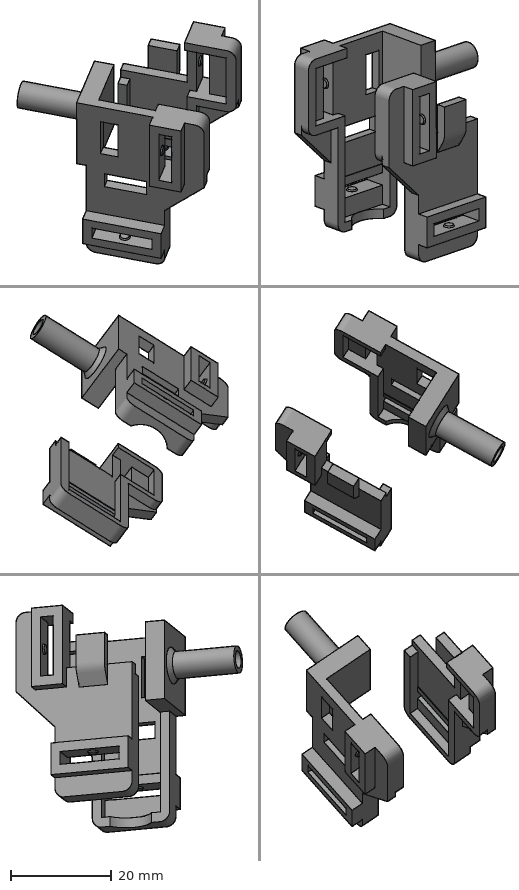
import cadquery as cq
import math

total_length = 40.35
total_height = 39.05
total_depth = 32.4

front_outer_y = 2.62
rear_outer_y = 29.85
plate_thickness = 4.05
rim_thickness = 2.0
arm_width = 16.3
leg_left = 15.85
leg_right = leg_left + arm_width
leg_center = leg_left + arm_width / 2
arm_bottom = total_height - arm_width
web_leg_z = 14.7
arm_center = total_height - arm_width / 2
rim = 2.0
leg_rim = 1.95

arm_slot_inset = 7.4
leg_slot_z = 7.42
slot_width = 2.65
block_width = 6.58
leg_block_shift = -0.12
front_arm_block_y = -leg_block_shift
rear_arm_block_y = total_depth
arm_slot_x = total_length - arm_slot_inset
arm_block_left = arm_slot_x - block_width / 2
leg_block_top = leg_slot_z + block_width / 2

bump_base_diameter = 2.18
bump_tip_diameter = 1.78
bump_height = 0.32
bump_depth = 2.18

wall_left = 13.9
wall_thickness = 4.05
wall_end_y = 15.65
tube_y = 10.77
tube_diameter = 5.5
bore_diameter = 3.5
bore_depth = 2.1
collar_length = 0.95
window_left, window_right = 18.85, 22.45
window_bottom, window_top = 26.67, 35.2
catch_slot_length = 8.7
catch_slot_bottom, catch_slot_top = 18.05, 21.45
scallop_radius = 5.33
scallop_center_gap = 3.05

rear_plate_top = 26.75
tab_width = 6.0
tab_thickness = 2.05
tab_top = 32.75
tab_curve_radius = 3.43
tab_slope = 32.0


def span_box(x_range, y_range, z_range):
    """Box between pairs of X, Y and Z limits, each given in either order."""
    sizes = [abs(b - a) for a, b in (x_range, y_range, z_range)]
    corner = [min(pair) for pair in (x_range, y_range, z_range)]
    return cq.Workplane("XY").box(*sizes, centered=False).translate(tuple(corner))


def extrude_outline(outline, y_start, y_end):
    """Extrude an XZ outline between two Y positions."""
    return outline.extrude(y_start - y_end).translate((0, y_start, 0))


def bump(base, direction):
    """Flat-topped cone that stands on a slot wall."""
    base_radius = bump_base_diameter / 2
    tip_radius = bump_tip_diameter / 2
    cone = cq.Solid.makeCone(base_radius, tip_radius, bump_height, cq.Vector(*base), cq.Vector(*direction))
    return cq.Workplane(obj=cone)


def add_clip_features(plate, outer_y, arm_top_y, outward):
    """Add the recess, slotted blocks and bumps; arm_top_y is the outer face of the arm's block."""
    inner_y = outer_y - outward * plate_thickness
    arm_floor = inner_y + outward * rim_thickness
    leg_floor = arm_floor + leg_block_shift
    leg_top_y = arm_top_y + leg_block_shift
    slot_top = total_height - rim
    slot_bottom = arm_bottom + rim
    leg_slot_x = (leg_left + leg_rim, leg_right - leg_rim)

    plate = plate.union(span_box(
        (arm_block_left, arm_block_left + block_width), (inner_y, arm_top_y), (arm_bottom, total_height)))
    plate = plate.union(span_box(
        (leg_left, leg_right), (outer_y, leg_top_y), (leg_block_top - block_width, leg_block_top)))

    plate = plate.cut(span_box(leg_slot_x, (inner_y, leg_floor), (rim, leg_block_top)))
    plate = plate.cut(span_box(leg_slot_x, (inner_y, arm_floor), (leg_block_top, slot_bottom)))
    plate = plate.cut(span_box((leg_left, arm_block_left), (inner_y, arm_floor), (slot_bottom, total_height)))
    plate = plate.cut(span_box(
        (arm_block_left, total_length - rim), (inner_y, arm_floor), (slot_bottom, slot_top)))

    half_slot = slot_width / 2
    plate = plate.cut(span_box(
        (arm_slot_x - half_slot, arm_slot_x + half_slot), (inner_y, arm_top_y), (slot_bottom, slot_top)))
    plate = plate.cut(span_box(
        leg_slot_x, (inner_y, leg_top_y), (leg_slot_z - half_slot, leg_slot_z + half_slot)))

    for side in (-1, 1):
        arm_base = (arm_slot_x + side * half_slot, arm_top_y - outward * bump_depth, arm_center)
        leg_base = (leg_center, leg_top_y - outward * bump_depth, leg_slot_z + side * half_slot)
        plate = plate.union(bump(arm_base, (-side, 0, 0)))
        plate = plate.union(bump(leg_base, (0, 0, -side)))
    return plate


def round_corners(plate, corners, radius):
    """Fillet the Y-direction edges at the given (x, z) corners."""
    tolerance = 0.05
    for x, z in corners:
        selector = cq.selectors.BoxSelector(
            (x - tolerance, 0, z - tolerance), (x + tolerance, total_depth, z + tolerance))
        plate = plate.edges("|Y").edges(selector).fillet(radius)
    return plate


def make_plate(outer_y, arm_block_y, top_steps):
    """L-shaped plate: an outer layer with a diagonal web and an inner rim layer without it.

    top_steps are the (x, z) points that end the outline along the top, right to left.
    """
    outward = 1 if arm_block_y > outer_y else -1
    middle_y = outer_y - outward * (plate_thickness - rim_thickness)
    inner_y = outer_y - outward * plate_thickness
    leg_end = [(leg_left, 0), (leg_right, 0)]
    arm_end = [(total_length, arm_bottom), (total_length, total_height)]
    free_corners = leg_end + arm_end[1:]

    web_points = leg_end + [(leg_right, web_leg_z)] + arm_end + top_steps
    web_outline = cq.Workplane("XZ").polyline(web_points).close()
    outer_layer = extrude_outline(web_outline, *sorted((outer_y, middle_y)))
    outer_layer = round_corners(outer_layer, free_corners, rim)

    rim_points = leg_end + [(leg_right, arm_bottom)] + arm_end + top_steps
    rim_outline = cq.Workplane("XZ").polyline(rim_points).close()
    rim_layer = extrude_outline(rim_outline, *sorted((middle_y, inner_y)))
    rim_layer = round_corners(rim_layer, free_corners + arm_end[:1], rim)
    return add_clip_features(outer_layer.union(rim_layer), outer_y, arm_block_y, outward)


def make_front_body():
    inner_y = front_outer_y + plate_thickness
    body = make_plate(front_outer_y, front_arm_block_y, [(leg_left, total_height)])

    body = body.union(span_box(
        (wall_left, wall_left + wall_thickness), (front_outer_y, wall_end_y), (arm_bottom, total_height)))

    tube_radius = tube_diameter / 2
    bore_radius = bore_diameter / 2
    half_section = cq.Workplane("XY").polyline([
        (0, bore_radius), (0, tube_radius), (wall_left - collar_length, tube_radius),
        (wall_left, tube_radius + collar_length), (wall_left, 0),
        (bore_depth, 0), (bore_depth, bore_radius)]).close()
    tube = half_section.revolve(360, (0, 0, 0), (1, 0, 0))
    body = body.union(tube.translate((0, tube_y, arm_center)))

    through = (front_outer_y, inner_y)
    half_catch = catch_slot_length / 2
    body = body.cut(span_box((window_left, window_right), through, (window_bottom, window_top)))
    body = body.cut(span_box(
        (leg_center - half_catch, leg_center + half_catch), through, (catch_slot_bottom, catch_slot_top)))

    scallop = cq.Workplane("XY").center(leg_center, inner_y + scallop_center_gap).circle(scallop_radius)
    return body.cut(scallop.extrude(rim))


def make_tab():
    """Snap tab on the outer face, blended into it by an arc and a straight slope."""
    slope = math.radians(tab_slope)
    face_y = rear_outer_y + tab_thickness

    def arc_point(angle):
        arc_y = face_y - tab_curve_radius * (1 - math.cos(angle))
        arc_z = rear_plate_top - tab_curve_radius * math.sin(angle)
        return (arc_y, arc_z)

    arc_end = arc_point(slope)
    slope_end_z = arc_end[1] - (arc_end[0] - rear_outer_y) / math.tan(slope)
    profile = (
        cq.Workplane("YZ")
        .moveTo(rear_outer_y, tab_top)
        .lineTo(face_y, tab_top)
        .lineTo(face_y, rear_plate_top)
        .threePointArc(arc_point(slope / 2), arc_end)
        .lineTo(rear_outer_y, slope_end_z)
        .close()
    )
    return profile.extrude(tab_width).translate((leg_center - tab_width / 2, 0, 0))


def make_rear_body():
    body = make_plate(rear_outer_y, rear_arm_block_y, [
        (arm_block_left, total_height), (arm_block_left, rear_plate_top), (leg_left, rear_plate_top)])
    return body.union(make_tab())


front_body = make_front_body()
rear_body = make_rear_body()

result = cq.Compound.makeCompound([front_body.val(), rear_body.val()])